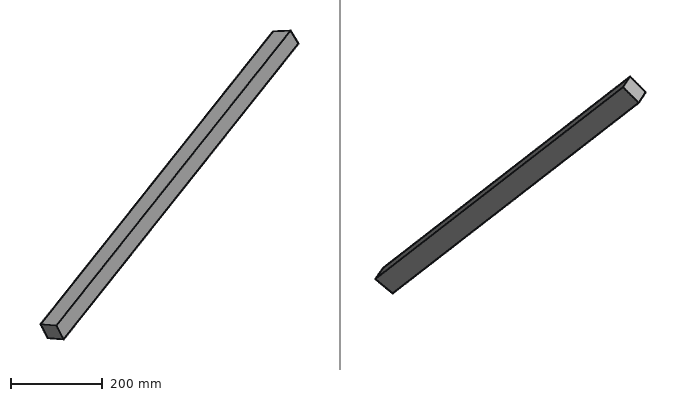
import cadquery as cq
import math

length = 992.0
overall_width = 149.0
bar_width = 50.0
bar_thickness = 39.0
roll_angle = 30.0
rear_drop = 10.0

roll = math.radians(roll_angle)
section_span = bar_width * math.cos(roll) + bar_thickness * math.sin(roll)

drift_slope = (overall_width - section_span) / (length - rear_drop)

front_y = -length / 2
rear_y = length / 2
left_x = -overall_width / 2
right_x = overall_width / 2
rear_right_x = right_x - drift_slope * length


def straight_bar():
    """Rolled rectangle swept level and sideways, slightly past the rear end."""
    front_center = (right_x - section_span / 2, front_y, 0)
    sweep_length = length + rear_drop
    path = (
        cq.Workplane("XY", origin=front_center)
        .lineTo(-drift_slope * sweep_length, sweep_length)
    )
    return (
        cq.Workplane("XZ", origin=front_center)
        .transformed(rotate=(0, 0, roll_angle))
        .rect(bar_width, bar_thickness)
        .sweep(path)
    )


def rear_trim():
    """Upright prism ahead of the slanted rear end, taller than the bar."""
    return (
        cq.Workplane("XY")
        .moveTo(left_x, rear_y - rear_drop)
        .lineTo(rear_right_x, rear_y)
        .lineTo(right_x, rear_y)
        .lineTo(right_x, front_y)
        .lineTo(left_x, front_y)
        .close()
        .extrude(bar_width + bar_thickness, both=True)
    )


result = straight_bar().intersect(rear_trim())